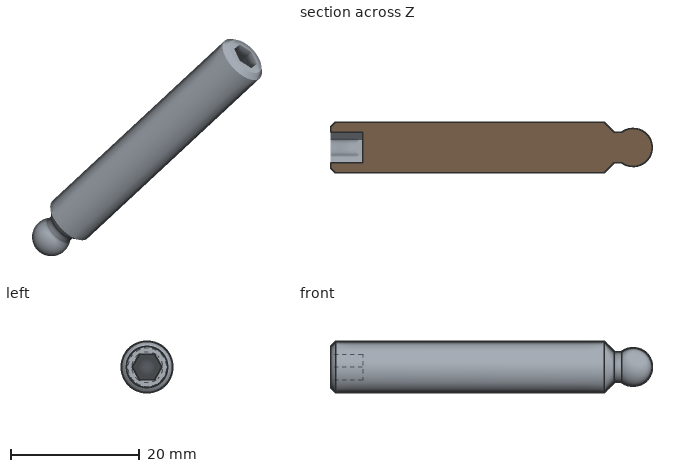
import cadquery as cq
import math

total_length = 50.0
body_diameter = 8.0
neck_diameter = 4.8
ball_diameter = 6.0
shoulder_start = 42.5
end_chamfer = 0.8
hex_across_flats = 4.0
socket_depth = 5.0

body_radius = body_diameter / 2
neck_radius = neck_diameter / 2
ball_radius = ball_diameter / 2
socket_end_x = -total_length / 2
shoulder_x = socket_end_x + shoulder_start
shoulder_length = body_radius - neck_radius
neck_x = shoulder_x + shoulder_length
ball_center_x = total_length / 2 - ball_radius
neck_ball_x = ball_center_x - math.sqrt(ball_radius**2 - neck_radius**2)


def turned_pin():
    """Revolve the half profile of body, shoulder, neck and ball about X."""
    arc_top = (ball_center_x, ball_radius)
    ball_tip = (ball_center_x + ball_radius, 0)
    return (
        cq.Workplane("XY")
        .moveTo(socket_end_x, 0)
        .lineTo(socket_end_x, body_radius - end_chamfer)
        .lineTo(socket_end_x + end_chamfer, body_radius)
        .lineTo(shoulder_x, body_radius)
        .lineTo(neck_x, neck_radius)
        .lineTo(neck_ball_x, neck_radius)
        .threePointArc(arc_top, ball_tip)
        .close()
        .revolve(360, (0, 0, 0), (1, 0, 0))
    )


def hex_socket():
    """Hexagonal prism with two corners on the Y axis."""
    across_corners = hex_across_flats / math.cos(math.pi / 6)
    return (
        cq.Workplane("YZ", origin=(socket_end_x, 0, 0))
        .polygon(6, across_corners)
        .extrude(socket_depth)
    )


result = turned_pin().cut(hex_socket())